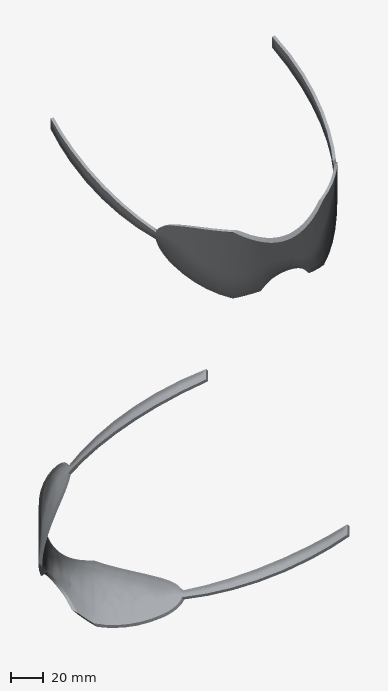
import cadquery as cq

length = 169.0
width = 157.5
thickness = 2.0
front_reach = 142.4
half_width = width / 2
back_x = front_reach - length

half_height = 59.7 / 2
temple_end_half = 4.9
temple_mid_half = 5.5
temple_neck_half = 3.2
temple_mid_x = 28.0
lens_back_x = 86.7
lens_peak_x = 130.5
lens_rise = [(89.6, 9.5), (96.7, 16.4), (103.5, 20.5), (113.6, 25.0)]
bridge_mid = (137.3, 24.0)
bridge_front_half = 18.8

nose_top = -8.6
nose_fall = [(6.8, -10.3), (11.3, -13.9), (14.7, -18.8)]
nose_corner = (19.1, -25.9)

cut_margin = 8.5
cut_height = half_height + cut_margin


def mirrored(points):
    """Points reflected across the vertical axis, in reverse order."""
    return [(-across, height) for across, height in reversed(points)]


def band_wall():
    """Elliptical wall cut off square behind the temples."""
    inner_reach = front_reach - thickness
    inner_half_width = half_width - thickness
    wall = (
        cq.Workplane("XY")
        .ellipse(front_reach, half_width)
        .ellipse(inner_reach, inner_half_width)
        .extrude(2 * half_height)
        .translate((0, 0, -half_height))
    )
    keep = cq.Workplane("XY").box(length, width + cut_margin, 2 * half_height)
    return wall.intersect(keep.translate((back_x + length / 2, 0, 0)))


def side_profile():
    """Tapered temple and rounded lens outline, carried across the width."""
    upper = (
        cq.Workplane("XZ")
        .moveTo(back_x, 0)
        .lineTo(back_x, temple_end_half)
        .threePointArc((temple_mid_x, temple_mid_half), (lens_back_x, temple_neck_half))
        .spline(lens_rise + [(lens_peak_x, half_height)], includeCurrent=True)
        .threePointArc(bridge_mid, (front_reach, bridge_front_half))
        .lineTo(front_reach, 0)
        .close()
        .extrude(width, both=True)
    )
    return upper.union(upper.mirror("XY")).clean()


def nose_cut():
    """Rounded nose opening, cut from back to front."""
    right_side = nose_fall + [nose_corner]
    nose_half_width = nose_corner[0]
    curve = mirrored(right_side) + [(0, nose_top)] + right_side
    return (
        cq.Workplane("YZ")
        .moveTo(*curve[0])
        .spline(curve[1:], includeCurrent=True)
        .lineTo(nose_half_width, -cut_height)
        .lineTo(-nose_half_width, -cut_height)
        .close()
        .extrude(length)
    )


result = band_wall().intersect(side_profile()).cut(nose_cut()).clean()